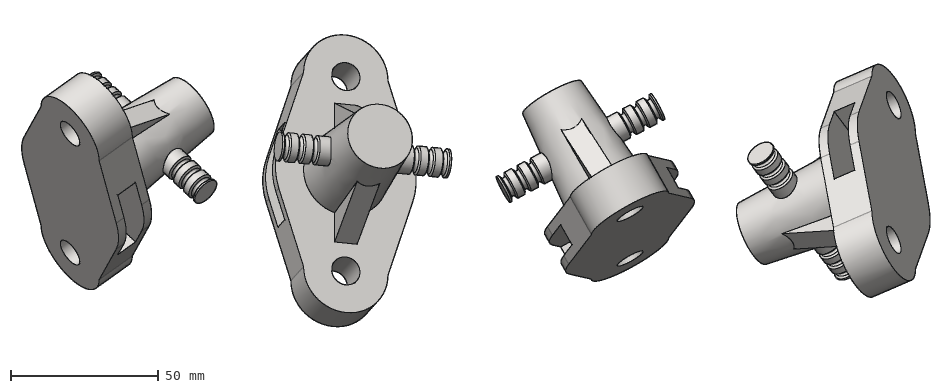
import cadquery as cq
import math

plate_thickness = 15.0
disc_radius = 25.0
end_radius = 15.0
end_offset = 35.0
hole_diameter = 10.0

slot_length = 35.0
slot_width = 8.0

post_length = 40.0
post_base_radius = 15.0
taper_angle = 5.0
post_tip_radius = post_base_radius - post_length * math.tan(math.radians(taper_angle))
rib_width = 8.0
rib_height = 25.0
rib_length = 30.0
rib_tip_height = 10.3

pin_radius = 5.0
pin_half_length = 30.0
pin_y = 20.0
groove_radius = 0.7
groove_center_radius = 4.2
groove_half_mouth = 1.2
first_groove_inset = 1.9
groove_pitch = 5.1
groove_count = 3


def make_plate():
    """Plate from y = -plate_thickness to y = 0."""
    corner_distance = math.hypot(end_radius, end_offset)
    tangent_angle = math.atan2(end_offset, end_radius) - math.acos(disc_radius / corner_distance)
    tangent_x = disc_radius * math.cos(tangent_angle)
    tangent_z = disc_radius * math.sin(tangent_angle)
    plate = (
        cq.Workplane("XZ")
        .moveTo(tangent_x, -tangent_z)
        .threePointArc((disc_radius, 0), (tangent_x, tangent_z))
        .lineTo(end_radius, end_offset)
        .threePointArc((0, end_offset + end_radius), (-end_radius, end_offset))
        .lineTo(-tangent_x, tangent_z)
        .threePointArc((-disc_radius, 0), (-tangent_x, -tangent_z))
        .lineTo(-end_radius, -end_offset)
        .threePointArc((0, -end_offset - end_radius), (end_radius, -end_offset))
        .close()
        .extrude(plate_thickness)
    )
    holes = (
        cq.Workplane("XZ")
        .pushPoints([(0, end_offset), (0, -end_offset)])
        .circle(hole_diameter / 2)
        .extrude(plate_thickness)
    )
    slot = cq.Workplane("XY").box(2 * disc_radius, slot_width, slot_length)
    return plate.cut(holes).cut(slot.translate((0, -plate_thickness / 2, 0)))


def make_post():
    """Cone tapering toward +Y."""
    return cq.Workplane(
        cq.Solid.makeCone(
            post_base_radius, post_tip_radius, post_length, cq.Vector(0, 0, 0), cq.Vector(0, 1, 0)
        )
    )


def make_ribs():
    """Ribs above and below the post, sloping down into its surface."""
    return (
        cq.Workplane("YZ")
        .polyline(
            [(0, -rib_height), (rib_length, -rib_tip_height), (rib_length, rib_tip_height), (0, rib_height)]
        )
        .close()
        .extrude(rib_width / 2, both=True)
    )


def make_groove_cutter(groove_x):
    """Ring with a round bottom and sides flaring out to the pin surface."""
    return (
        cq.Workplane("XY")
        .moveTo(groove_x - groove_half_mouth, pin_radius)
        .lineTo(groove_x - groove_radius, groove_center_radius)
        .threePointArc(
            (groove_x, groove_center_radius - groove_radius),
            (groove_x + groove_radius, groove_center_radius),
        )
        .lineTo(groove_x + groove_half_mouth, pin_radius)
        .close()
        .revolve(360, (0, 0, 0), (1, 0, 0))
    )


def make_pin():
    """Pin along X with the same grooves at both ends."""
    pin = cq.Workplane("YZ").circle(pin_radius).extrude(pin_half_length, both=True)
    for index in range(groove_count):
        groove_x = pin_half_length - first_groove_inset - index * groove_pitch
        for side in (-1, 1):
            pin = pin.cut(make_groove_cutter(side * groove_x))
    return pin.translate((0, pin_y, 0))


result = make_plate().union(make_post()).union(make_ribs()).union(make_pin())